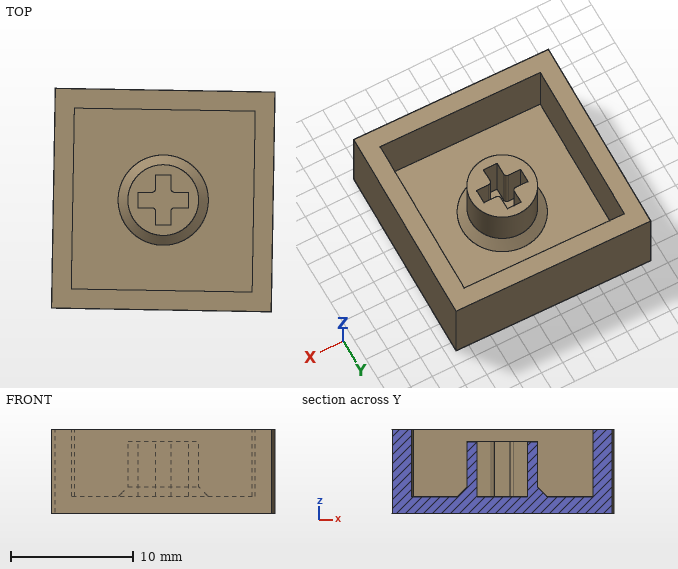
import cadquery as cq

shell_side = 18.015
shell_height = 6.9
shell_turn = -0.98
wall = 1.6
floor = 1.4

stem_diameter = 5.8
stem_top_drop = 1.0
foot_size = 0.8

cross_length = 4.1
cross_width = 1.27
cross_corner_radius = 0.28

cavity_side = shell_side - 2 * wall
stem_top = shell_height - stem_top_drop
stem_height = stem_top - floor
stem_radius = stem_diameter / 2
socket_depth = stem_height


def make_shell():
    """Open-topped square box with a flat floor."""
    block = cq.Workplane("XY").rect(shell_side, shell_side).extrude(shell_height)
    cavity = (
        cq.Workplane("XY")
        .workplane(offset=floor)
        .rect(cavity_side, cavity_side)
        .extrude(shell_height - floor)
    )
    return block.cut(cavity).rotate((0, 0, 0), (0, 0, 1), shell_turn)


def make_stem():
    """Round post with a conical foot, revolved about Z."""
    foot_radius = stem_radius + foot_size
    return (
        cq.Workplane("XZ")
        .polyline([
            (0, 0),
            (foot_radius, 0),
            (foot_radius, floor),
            (stem_radius, floor + foot_size),
            (stem_radius, stem_top),
            (0, stem_top),
        ])
        .close()
        .revolve(360, (0, 0), (0, 1))
    )


def make_socket():
    """Cross-shaped cutter reaching the floor; its four inner corners are rounded."""
    base = cq.Workplane("XY").workplane(offset=stem_top - socket_depth)
    cross = base.rect(cross_length, cross_width).extrude(socket_depth)
    cross = cross.union(base.rect(cross_width, cross_length).extrude(socket_depth))
    inner_reach = cross_width
    inner_corners = cq.selectors.BoxSelector(
        (-inner_reach, -inner_reach, 0),
        (inner_reach, inner_reach, shell_height),
    )
    return cross.edges("|Z").edges(inner_corners).fillet(cross_corner_radius)


result = make_shell().union(make_stem()).cut(make_socket())